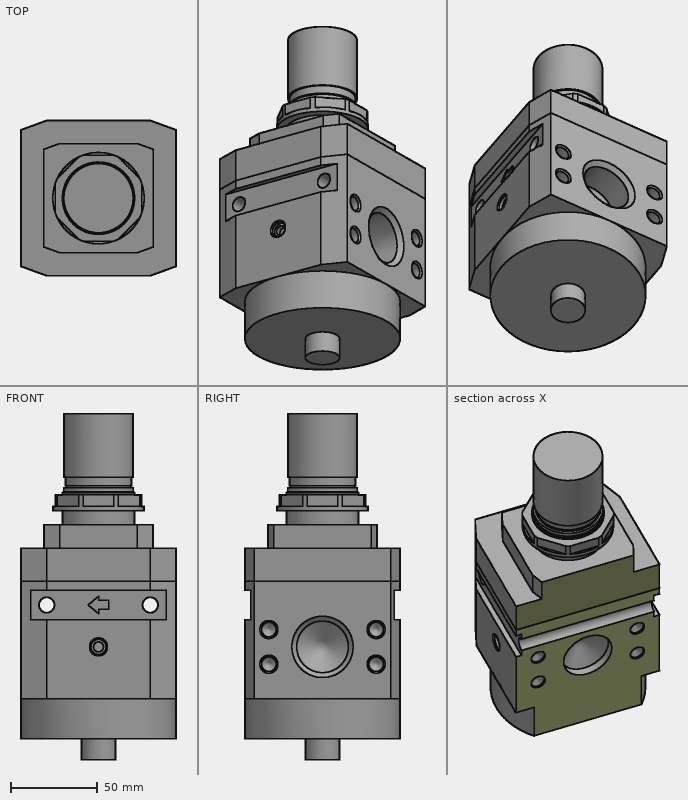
import cadquery as cq
import math


drain_top = 12.0
block_bottom = 35.4
joint_height = 103.5
cap_top = 122.8
step_top = 136.5
nut_bottom = 144.5
nut_flats_bottom = 147.1
nut_top = 153.8
neck_chamfer_bottom = 155.0
collar_bottom = 155.5
collar_top = 158.0
grip_neck_bottom = 159.2
grip_bottom = 164.0
grip_top = 201.0

block_width = 90.2
corner_length_x = 15.0
step_width = 63.3
step_corner_length_x = 9.0
corner_slope = math.tan(math.radians(20))

bowl_diameter = block_width
drain_diameter = 19.9
neck_diameter = 42.0
collar_diameter = 40.6
groove_diameter = 37.4
grip_neck_diameter = 38.4
grip_diameter = 40.2

nut_diameter = 53.0
nut_width_across_flats = 50.0
nut_flat_count = 8

slot_bottom = 81.5
slot_top = 98.3
slot_depth = 3.5
slot_height = (slot_bottom + slot_top) / 2
mount_hole_diameter = 8.8
mount_hole_offset = block_width / 2 - corner_length_x

arrow_half_length = 6.0
arrow_head_half_width = 5.0
arrow_tail_half_width = 2.6
arrow_depth = 0.6

port_height = 65.5
port_mouth_diameter = 35.5
port_diameter = 30.0
port_chamfer_depth = (port_mouth_diameter - port_diameter) / 2
port_depth = 20.0
drill_tip_angle = 118
screw_hole_mouth_diameter = 10.5
screw_hole_diameter = 8.5
screw_hole_chamfer_depth = (screw_hole_mouth_diameter - screw_hole_diameter) / 2
screw_hole_depth = 16.0
screw_hole_offset_y = 31.2
screw_hole_offset_z = 10.0

gauge_mouth_diameter = 10.5
gauge_diameter = 8.8
gauge_chamfer_depth = (gauge_mouth_diameter - gauge_diameter) / 2
gauge_depth = 2.8
gauge_bore_diameter = 5.8
gauge_bore_depth = 6.0


def disk(diameter, bottom, top):
    """Upright cylinder on the Z axis."""
    return cq.Workplane("XY", origin=(0, 0, bottom)).circle(diameter / 2).extrude(top - bottom)


def cornered_block(width, corner_x, bottom, top):
    """Square block whose four upright edges are cut at a slant."""
    corner_y = corner_x * corner_slope
    block = cq.Workplane("XY", origin=(0, 0, bottom)).rect(width, width).extrude(top - bottom)
    half = width / 2
    for side_x in (-1, 1):
        for side_y in (-1, 1):
            corner = (
                cq.Workplane("XY", origin=(0, 0, bottom))
                .moveTo(side_x * half, side_y * half)
                .lineTo(side_x * (half - corner_x), side_y * half)
                .lineTo(side_x * half, side_y * (half - corner_y))
                .close()
                .extrude(top - bottom)
            )
            block = block.cut(corner)
    return block


def revolved_cutter(profile, start, direction):
    """Turn a (radius, depth) profile about an axis that goes from start along direction."""
    cutter = cq.Workplane("XZ").polyline(profile).close().revolve(360, (0, 0), (0, 1))
    place = cq.Plane(origin=start, xDir=(0, 0, 1), normal=direction)
    return cq.Workplane(cutter.val().moved(cq.Location(place)))


def drilled_hole(mouth_diameter, chamfer_depth, diameter, depth, start, direction):
    """Chamfered blind hole with a conical drill tip."""
    tip_depth = diameter / 2 / math.tan(math.radians(drill_tip_angle / 2))
    profile = [
        (0, 0),
        (mouth_diameter / 2, 0),
        (diameter / 2, chamfer_depth),
        (diameter / 2, depth),
        (0, depth + tip_depth),
    ]
    return revolved_cutter(profile, start, direction)


def cut_ports(body):
    """Main port and its four screw holes on both X sides."""
    for side in (-1, 1):
        face_x = side * block_width / 2
        inward = (-side, 0, 0)
        port = drilled_hole(port_mouth_diameter, port_chamfer_depth, port_diameter, port_depth,
                            (face_x, 0, port_height), inward)
        body = body.cut(port)
        for side_y in (-1, 1):
            for side_z in (-1, 1):
                start = (face_x, side_y * screw_hole_offset_y, port_height + side_z * screw_hole_offset_z)
                hole = drilled_hole(screw_hole_mouth_diameter, screw_hole_chamfer_depth,
                                    screw_hole_diameter, screw_hole_depth, start, inward)
                body = body.cut(hole)
    return body


def cut_slots(body):
    """Mounting slots across both Y sides, joined by two through holes."""
    for side in (-1, 1):
        slot = cq.Workplane("XY").box(block_width, 2 * slot_depth, slot_top - slot_bottom)
        body = body.cut(slot.translate((0, side * block_width / 2, slot_height)))
    holes = (
        cq.Workplane("XZ", origin=(0, 0, slot_height))
        .pushPoints([(-mount_hole_offset, 0), (mount_hole_offset, 0)])
        .circle(mount_hole_diameter / 2)
        .extrude(block_width / 2, both=True)
    )
    return body.cut(holes)


def cut_gauge_ports(body):
    """Chamfered stepped bore on both Y sides."""
    profile = [
        (0, 0),
        (gauge_mouth_diameter / 2, 0),
        (gauge_diameter / 2, gauge_chamfer_depth),
        (gauge_diameter / 2, gauge_depth),
        (gauge_bore_diameter / 2, gauge_depth),
        (gauge_bore_diameter / 2, gauge_bore_depth),
        (0, gauge_bore_depth),
    ]
    for side in (-1, 1):
        start = (0, side * block_width / 2, port_height)
        body = body.cut(revolved_cutter(profile, start, (0, -side, 0)))
    return body


def cut_arrow(body):
    """Shallow arrow toward -X in the floor of the -Y slot."""
    floor_y = slot_depth - block_width / 2
    arrow = (
        cq.Workplane("XZ", origin=(0, floor_y, slot_height))
        .polyline([
            (-arrow_half_length, 0),
            (0, arrow_head_half_width),
            (0, arrow_tail_half_width),
            (arrow_half_length, arrow_tail_half_width),
            (arrow_half_length, -arrow_tail_half_width),
            (0, -arrow_tail_half_width),
            (0, -arrow_head_half_width),
        ])
        .close()
        .extrude(-arrow_depth)
    )
    return body.cut(arrow)


def make_housing():
    body = cornered_block(block_width, corner_length_x, block_bottom, joint_height)
    body = body.union(disk(bowl_diameter, drain_top, block_bottom))
    body = body.union(disk(drain_diameter, 0, drain_top))
    body = cut_ports(body)
    body = cut_slots(body)
    body = cut_gauge_ports(body)
    return cut_arrow(body)


def make_bonnet():
    """Cap and step with the neck, collar and knob as one turned post."""
    cap = cornered_block(block_width, corner_length_x, joint_height, cap_top)
    step = cornered_block(step_width, step_corner_length_x, cap_top, step_top)
    post = (
        cq.Workplane("XZ")
        .polyline([
            (0, step_top),
            (neck_diameter / 2, step_top),
            (neck_diameter / 2, neck_chamfer_bottom),
            (collar_diameter / 2, collar_bottom),
            (collar_diameter / 2, collar_top),
            (groove_diameter / 2, collar_top),
            (groove_diameter / 2, grip_neck_bottom),
            (grip_neck_diameter / 2, grip_neck_bottom),
            (grip_neck_diameter / 2, grip_bottom),
            (grip_diameter / 2, grip_bottom),
            (grip_diameter / 2, grip_top),
            (0, grip_top),
        ])
        .close()
        .revolve(360, (0, 0), (0, 1))
    )
    return cap.union(step).union(post)


def make_nut():
    """Round nut with flats above a full-round rim, bored to fit the neck."""
    rim = disk(nut_diameter, nut_bottom, nut_flats_bottom)
    corner_diameter = nut_width_across_flats / math.cos(math.pi / nut_flat_count)
    octagon = (
        cq.Workplane("XY", origin=(0, 0, nut_flats_bottom))
        .transformed(rotate=(0, 0, 180 / nut_flat_count))
        .polygon(nut_flat_count, corner_diameter)
        .extrude(nut_top - nut_flats_bottom)
    )
    head = octagon.intersect(disk(nut_diameter, nut_flats_bottom, nut_top))
    return rim.union(head).cut(disk(neck_diameter, nut_bottom, nut_top))


housing = make_housing()
bonnet = make_bonnet()
nut = make_nut()

result = cq.Compound.makeCompound([housing.val(), bonnet.val(), nut.val()])